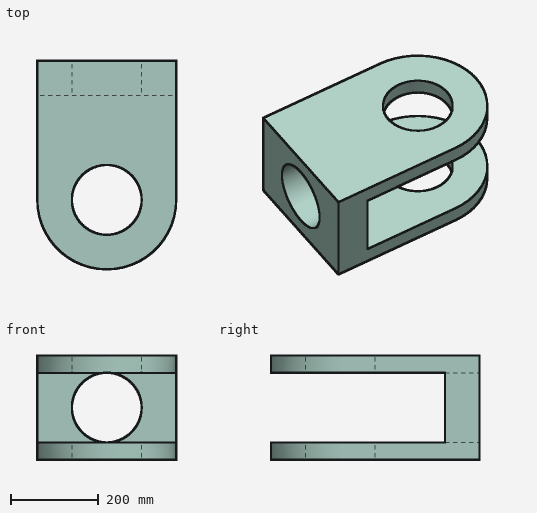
import cadquery as cq

length = 476.2
width = length * 2 / 3
height = length / 2
ear_thickness = height / 6
base_thickness = length / 6
hole_diameter = width / 2

ear_radius = width / 2
back_y = length - ear_radius
base_front_y = back_y - base_thickness
gap = height - 2 * ear_thickness


def clevis_body():
    """Block with a full-round front end, extruded over the whole height."""
    return (
        cq.Workplane("XY")
        .moveTo(-ear_radius, back_y)
        .lineTo(-ear_radius, 0)
        .threePointArc((0, -ear_radius), (ear_radius, 0))
        .lineTo(ear_radius, back_y)
        .close()
        .extrude(height / 2, both=True)
    )


def slot():
    """Opening between the ears, from the rounded tips to the base."""
    slot_length = base_front_y + ear_radius
    slot_center_y = (base_front_y - ear_radius) / 2
    return cq.Workplane("XY").box(width, slot_length, gap).translate((0, slot_center_y, 0))


def pin_hole():
    """Hole along Z through both ears."""
    return cq.Workplane("XY").circle(hole_diameter / 2).extrude(height / 2, both=True)


def base_hole():
    """Hole along Y through the base, as wide as the gap between the ears."""
    return (
        cq.Workplane("XZ", origin=(0, back_y, 0))
        .circle(hole_diameter / 2)
        .extrude(base_thickness)
    )


result = clevis_body().cut(slot()).cut(pin_hole()).cut(base_hole())